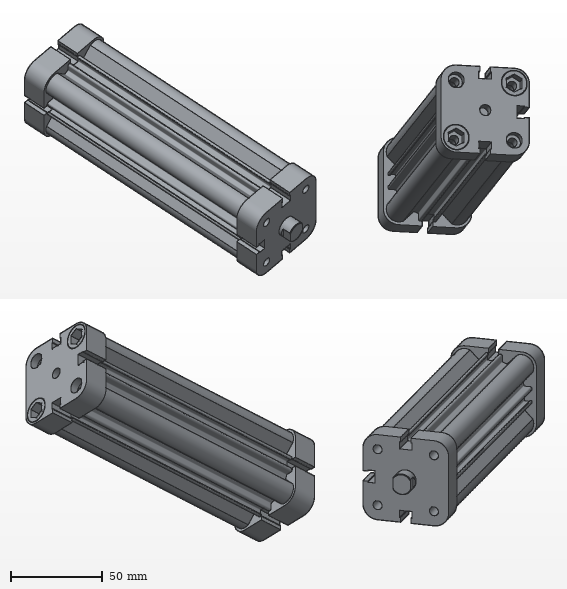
import cadquery as cq
import math

total_length = 176.5
side = 49.5
cover_length = 14.3
rod_projection = 7.5
body_length = total_length - rod_projection
barrel_length = body_length - 2 * cover_length

screw_offset = 16.2
bolt_hole_diameter = 5.1
clear_hole_diameter = 8.8
clear_hole_depth = 5.0
hex_across_flats = 8.8
hex_depth = 6.0
head_diameter = 14.0
head_recess_diameter = 14.5
head_recess_depth = 4.5
centre_hole_diameter = 6.2
centre_hole_depth = 7.0

slot_neck_width = 5.8
slot_width = 7.0
slot_floor = 17.8
cover_neck_floor = 21.9

lobe_radius = 6.9
lobe_web_width = 12.7
core_radius = 18.4
valley_fillet = 0.97
lip_width = 10.0
lip_top = 22.0
lip_neck_floor = 21.0
lip_outer_fillet = 1.0
lip_neck_fillet = 0.5
lip_foot_fillet = 0.5
slot_corner_fillet = 0.5

rod_diameter = 12.0
rod_chamfer = 0.4
flat_width = 10.0
flat_length = 5.1
flat_runout = 0.5

corners = [(y, z) for y in (-screw_offset, screw_offset) for z in (-screw_offset, screw_offset)]
plain_corners = [(y, z) for y, z in corners if y * z > 0]
hex_corners = [(y, z) for y, z in corners if y * z < 0]

position_tolerance = 0.02

cover_slot_turns = (0, 90, 180)
slot_turns = (0, 90, 180, 270)


def cylinders(points, diameter, x_start, length):
    """Round rods along X at the given (y, z) points."""
    return cq.Workplane("YZ", origin=(x_start, 0, 0)).pushPoints(points).circle(diameter / 2).extrude(length)


def turned(shape, angle):
    """Turn a shape about the cylinder axis."""
    return shape.rotate((0, 0, 0), (1, 0, 0), angle)


def bar(x_start, length, width, z_low, z_high):
    """Rectangular bar along X, centred on Y."""
    origin = (x_start, 0, z_low)
    return cq.Workplane("XY", origin=origin).box(length, width, z_high - z_low, centered=(False, True, False))


def slot(x_start, length, neck_floor):
    """Cutter for a slot in the +Z side: a narrow neck over a wider cavity."""
    neck = bar(x_start, length, slot_neck_width, neck_floor, side / 2)
    cavity = bar(x_start, length, slot_width, slot_floor, neck_floor)
    return neck.union(cavity)


def cover(x_start):
    """Square end cover with round corners, three slots and four bolt holes."""
    block = (
        cq.Workplane("YZ", origin=(x_start, 0, 0))
        .rect(side, side)
        .extrude(cover_length)
        .edges("|X")
        .fillet(side / 2 - screw_offset)
    )
    for angle in cover_slot_turns:
        block = block.cut(turned(slot(x_start, cover_length, cover_neck_floor), angle))
    return block.cut(cylinders(corners, bolt_hole_diameter, x_start, cover_length))


def make_rear_cover():
    """Cover with a blind centre hole, two clear holes and two hexagon socket heads."""
    upright = 90
    hex_diameter = hex_across_flats / math.cos(math.pi / 6)
    hex_prism = turned(cq.Workplane("YZ").polygon(6, hex_diameter).extrude(hex_depth), upright)
    head_gaps = cylinders(hex_corners, head_recess_diameter, 0, head_recess_depth).cut(
        cylinders(hex_corners, head_diameter, 0, head_recess_depth)
    )
    rear_cover = (
        cover(0)
        .cut(cylinders(plain_corners, clear_hole_diameter, 0, clear_hole_depth))
        .cut(head_gaps)
        .cut(cylinders([(0, 0)], centre_hole_diameter, 0, centre_hole_depth))
    )
    for y, z in hex_corners:
        rear_cover = rear_cover.cut(hex_prism.translate((0, y, z)))
    return rear_cover


def make_front_cover():
    """Cover with a bore for the piston rod."""
    x_start = body_length - cover_length
    return cover(x_start).cut(cylinders([(0, 0)], rod_diameter, x_start, cover_length))


def fillet_lines(shape, radius, distance):
    """Round the edges along X that lie at the given distance from the cylinder axis."""

    def at_distance(edge):
        centre = edge.Center()
        return abs(math.hypot(centre.y, centre.z) - distance) < position_tolerance

    return shape.edges("|X").filter(at_distance).fillet(radius)


def lobe_pair():
    """Flat-sided web along Z, through the axis, whose round ends are centred on two opposite screws."""
    half_width = lobe_web_width / 2
    screw_distance = math.sqrt(2) * screw_offset
    web_reach = screw_distance + math.sqrt(lobe_radius**2 - half_width**2)
    tip_reach = screw_distance + lobe_radius
    return (
        cq.Workplane("YZ", origin=(cover_length, 0, 0))
        .moveTo(half_width, -web_reach)
        .lineTo(half_width, web_reach)
        .threePointArc((0, tip_reach), (-half_width, web_reach))
        .lineTo(-half_width, -web_reach)
        .threePointArc((0, -tip_reach), (half_width, -web_reach))
        .close()
        .extrude(barrel_length)
    )


def make_barrel():
    """Round core with four diagonal lobes and a lipped slot on each side."""
    barrel = cylinders([(0, 0)], 2 * core_radius, cover_length, barrel_length)

    for angle in (45, 135):
        barrel = barrel.union(turned(lobe_pair(), angle))
    barrel = fillet_lines(barrel, valley_fillet, core_radius)

    lip = bar(cover_length, barrel_length, lip_width, 0, lip_top).edges("|X and >Z").fillet(lip_outer_fillet)
    for angle in slot_turns:
        barrel = barrel.union(turned(lip, angle))
    barrel = fillet_lines(barrel, lip_foot_fillet, core_radius)

    cutter = slot(cover_length, barrel_length, lip_neck_floor).edges("|X and <Z").fillet(slot_corner_fillet)
    for angle in slot_turns:
        barrel = barrel.cut(turned(cutter, angle))
    barrel = fillet_lines(barrel, lip_neck_fillet, math.hypot(slot_neck_width / 2, lip_top))

    return barrel.cut(cylinders(corners, bolt_hole_diameter, cover_length, barrel_length))


def make_piston_rod():
    """Rod through the front cover, with two wrench flats at its chamfered tip."""
    x_start = body_length - cover_length
    rod = cylinders([(0, 0)], rod_diameter, x_start, total_length - x_start).faces(">X").chamfer(rod_chamfer)
    flat_start = total_length - flat_length
    half_flat = flat_width / 2
    half_rod = rod_diameter / 2
    for sign in (-1, 1):
        flat = (
            cq.Workplane("XY", origin=(0, 0, -half_rod))
            .moveTo(total_length, sign * half_flat)
            .lineTo(flat_start, sign * half_flat)
            .lineTo(flat_start - flat_runout, sign * half_rod)
            .lineTo(total_length, sign * half_rod)
            .close()
            .extrude(rod_diameter)
        )
        rod = rod.cut(flat)
    return rod


rear_cover = make_rear_cover()
front_cover = make_front_cover()
barrel = make_barrel()
piston_rod = make_piston_rod()

result = cq.Compound.makeCompound([rear_cover.val(), front_cover.val(), barrel.val(), piston_rod.val()])